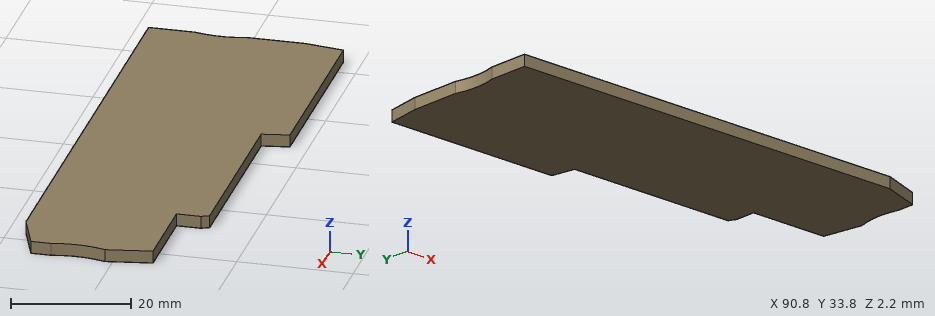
import cadquery as cq

length = 90.8
width = 33.8
thickness = 2.2

left_slope_run = 1.1
left_slope_base_y = 26.9
left_grip_bottom_y = 8.0
left_grip_top_y = 17.0
left_grip_depth = 0.6

first_step_top_x = 37.3
first_step_base_x = 38.1
middle_shelf_y = 29.1
second_step_x = 73.55
step_corner_run = 0.6
step_corner_drop = 1.4
low_shelf_y = 23.5
low_shelf_end_x = 89.4

right_grip_top_y = 15.6
right_grip_bottom_y = 6.3
right_grip_low_x = 90.0
right_flat_x = 90.5
bevel_start_x = 82.8
bevel_top_y = 2.8

left_grip_middle_y = (left_grip_bottom_y + left_grip_top_y) / 2
right_grip_middle_y = (right_grip_bottom_y + right_grip_top_y) / 2

outline = (
    cq.Workplane("XY")
    .moveTo(0, 0)
    .lineTo(bevel_start_x, 0)
    .lineTo(right_flat_x, bevel_top_y)
    .lineTo(right_flat_x, right_grip_bottom_y)
    .threePointArc((right_grip_low_x, right_grip_middle_y), (length, right_grip_top_y))
    .lineTo(low_shelf_end_x, low_shelf_y)
    .lineTo(second_step_x, low_shelf_y)
    .lineTo(second_step_x, middle_shelf_y - step_corner_drop)
    .lineTo(second_step_x - step_corner_run, middle_shelf_y)
    .lineTo(first_step_base_x, middle_shelf_y)
    .lineTo(first_step_top_x, width)
    .lineTo(left_slope_run, width)
    .lineTo(0, left_slope_base_y)
    .lineTo(0, left_grip_top_y)
    .threePointArc((left_grip_depth, left_grip_middle_y), (0, left_grip_bottom_y))
    .close()
)

result = outline.extrude(thickness)